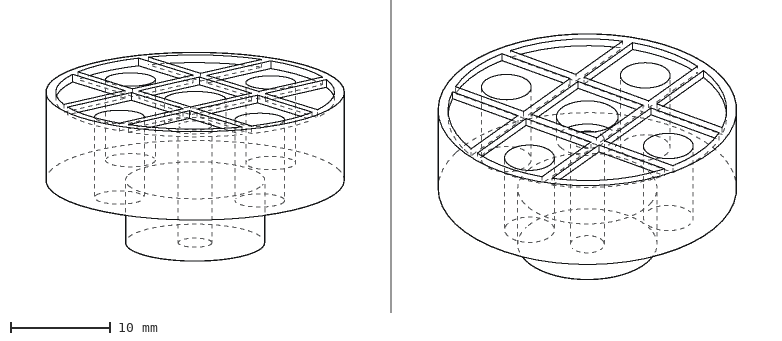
import cadquery as cq

disc_diameter = 30.0
disc_height = 9.2
hub_diameter = 14.0
hub_height = 6.5
disc_top = hub_height + disc_height

rim_width = 1.0
rib_width = 1.0
rib_spacing = 9.0
pocket_depth = 0.8
pocket_diameter = disc_diameter - 2 * rim_width
pocket_floor = disc_top - pocket_depth

outer_hole_diameter = 5.0
outer_hole_circle_diameter = 20.0
outer_hole_count = 4
centre_hole_diameter = 3.4
counterbore_diameter = 6.2
counterbore_depth = 2.7


def cylinder(diameter, height, base_z):
    """Upright cylinder on the Z axis, standing on base_z."""
    return cq.Workplane("XY").workplane(offset=base_z).circle(diameter / 2).extrude(height)


def rib_grid():
    """Two ribs along X and two along Y, filling the pocket depth."""
    half_spacing = rib_spacing / 2
    floor = cq.Workplane("XY").workplane(offset=pocket_floor)
    ribs_along_x = (
        floor.pushPoints([(0, -half_spacing), (0, half_spacing)])
        .rect(disc_diameter, rib_width)
        .extrude(pocket_depth)
    )
    ribs_along_y = ribs_along_x.rotate((0, 0, 0), (0, 0, 1), 90)
    return ribs_along_x.union(ribs_along_y)


def pockets():
    """Material removed from the top face between the rim and the ribs."""
    return cylinder(pocket_diameter, pocket_depth, pocket_floor).cut(rib_grid())


def outer_holes():
    """Ring of holes passing through the disc beside the hub."""
    return (
        cq.Workplane("XY")
        .workplane(offset=hub_height)
        .polarArray(outer_hole_circle_diameter / 2, 0, 360, outer_hole_count)
        .circle(outer_hole_diameter / 2)
        .extrude(disc_height)
    )


def centre_hole():
    """Through hole on the axis, counterbored from the central pocket floor."""
    through_hole = cylinder(centre_hole_diameter, disc_top, 0)
    counterbore = cylinder(counterbore_diameter, counterbore_depth, pocket_floor - counterbore_depth)
    return through_hole.union(counterbore)


def disc_with_hub():
    """Solid disc standing on its narrower hub."""
    hub = cylinder(hub_diameter, hub_height, 0)
    disc = cylinder(disc_diameter, disc_height, hub_height)
    return hub.union(disc)


result = disc_with_hub().cut(pockets()).cut(outer_holes()).cut(centre_hole())